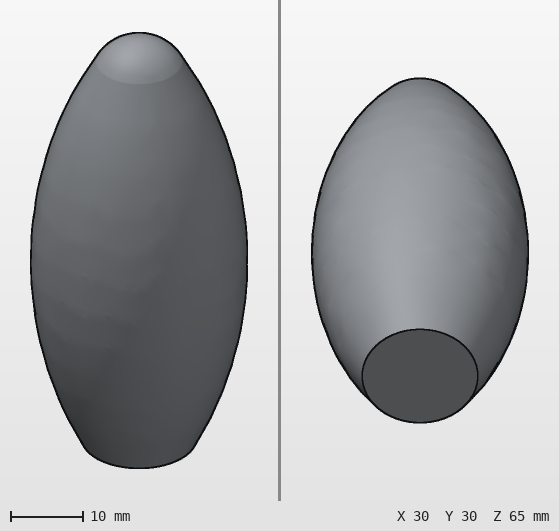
import cadquery as cq
import math

total_height = 65.0
base_radius = 8.0
belly_radius = 29.95 / 2
neck_radius = 6.0
dome_radius = 14.0 / 2
belly_height = 29.9

dome_height = dome_radius - math.sqrt(dome_radius**2 - neck_radius**2)
neck_height = total_height - dome_height
dome_center_height = total_height - dome_radius
dome_mid_angle = math.asin(neck_radius / dome_radius) / 2
dome_mid_point = (
    dome_radius * math.sin(dome_mid_angle),
    dome_center_height + dome_radius * math.cos(dome_mid_angle),
)

half_outline = (
    cq.Workplane("XZ")
    .lineTo(base_radius, 0)
    .threePointArc((belly_radius, belly_height), (neck_radius, neck_height))
    .threePointArc(dome_mid_point, (0, total_height))
    .close()
)

result = half_outline.revolve(360, (0, 0, 0), (0, 1, 0))